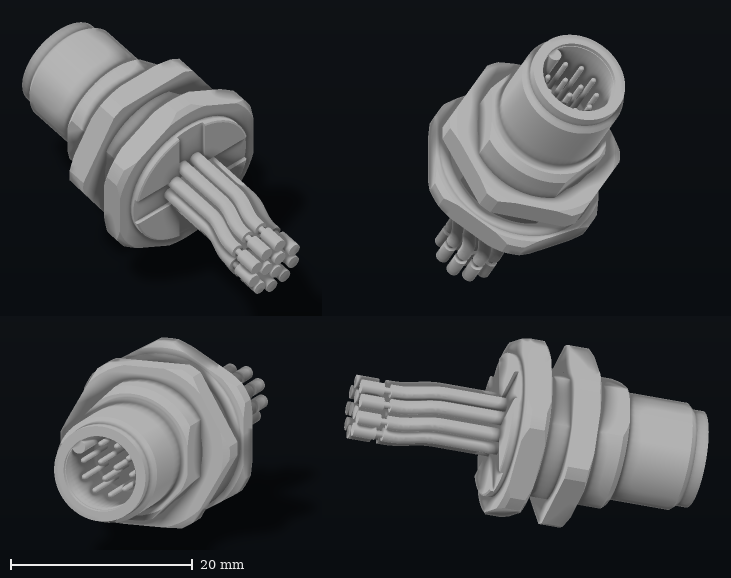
import cadquery as cq
import math

TIP_END = 1.3
TIP_CONE_END = 2.0
SLEEVE_END = 9.0
SHOULDER_START = 9.45
SHOULDER_CHAMFER_END = 10.2
NUT_START = 13.5
NUT_END = 16.25
FLANGE_START = 19.3
FLANGE_END = 22.05
SLOT_FLOOR = 22.55
REAR_END = 23.0
BEND_START = 29.35
BEND_END = 34.8
INSULATION_END = 35.42
WIRE_END_START = 36.28
TOTAL_LENGTH = 38.8

TIP_RADIUS = 10.8 / 2
SLEEVE_RADIUS = 12.0 / 2
THREAD_RADIUS = 15.25 / 2
SHOULDER_FACE_RADIUS = 6.9
NECK_FILLET = SHOULDER_START - SLEEVE_END
THREAD_FLAT_OFFSET = 6.7
THREAD_FLAT_ANGLES = (0, 45)
COLLAR_RADIUS = 16.0 / 2
REAR_FACE_RADIUS = 15.6 / 2
REAR_CHAMFER_LENGTH = 0.1
REAR_SLOT_WIDTH = 3.6

SOCKET_RADIUS = 8.4 / 2
MOUTH_RADIUS = 4.25
MOUTH_DEPTH = 0.5
SOCKET_DEPTH = SLEEVE_END
FLOOR_FILLET = 0.4
KEY_DIAMETER = 1.5
KEY_ANGLE = 45
KEY_CIRCLE_RADIUS = 3.8
KEY_START = MOUTH_DEPTH
PIN_DIAMETER = 0.6
PIN_START = 2.0
PIN_TIP_FILLET = 0.27
OUTER_PIN_COUNT = 9
OUTER_PIN_CIRCLE_RADIUS = 2.9
OUTER_PIN_PITCH = 37.5
INNER_PIN_COUNT = 3
INNER_PIN_CIRCLE_RADIUS = 1.1

HEX_SIDES = 6
HALF_SIDE_ANGLE = 180 / HEX_SIDES
FLANGE_TURN = HALF_SIDE_ANGLE
NUT_TURN = 0
FLANGE_FLATS = 19.0
FLANGE_CORNER_RADIUS = 20.87 / 2
FLANGE_FACE_RADIUS = 9.85
FLANGE_CHAMFER_FRONT = 0.5
FLANGE_CHAMFER_REAR = 0.55
NUT_FLATS = 18.0
NUT_CORNER_RADIUS = 20.0 / 2
NUT_FACE_RADIUS = 9.3
NUT_CHAMFER = 0.35
NUT_BORE_RADIUS = 6.9

RING_CENTRE_RADIUS = 8.55
RING_SECTION_RADIUS = 0.78
RING_PROTRUSION = 0.35

WIRE_DIAMETER = 1.5
CONDUCTOR_DIAMETER = 0.7
WIRE_OFFSET = 1.2


def revolve_about_x(half_profile):
    """Full turn about X of a closed (axial, radial) half profile."""
    return half_profile.close().revolve(360, (0, 0, 0), (1, 0, 0))


def rod(start, end, diameter, y=0.0, z=0.0):
    """Cylinder parallel to X."""
    return cq.Workplane("YZ", origin=(start, y, z)).circle(diameter / 2).extrude(end - start)


def hexagon(start, end, across_flats, turn):
    """Hexagonal prism along X; a zero turn puts two corners on the Y axis."""
    corner_diameter = across_flats / math.cos(math.radians(HALF_SIDE_ANGLE))
    prism = cq.Workplane("YZ", origin=(start, 0, 0)).polygon(HEX_SIDES, corner_diameter).extrude(end - start)
    return prism.rotate((0, 0, 0), (1, 0, 0), turn)


def on_circle(radius, angle):
    """(y, z) of a point on a circle about the axis, its angle measured from +Y towards +Z."""
    turn = math.radians(angle)
    return radius * math.cos(turn), radius * math.sin(turn)


def contact_positions():
    """(y, z) of all contacts: an outer arc that leaves a gap at the key, and an inner triangle."""
    first_angle = KEY_ANGLE + (360 - (OUTER_PIN_COUNT - 1) * OUTER_PIN_PITCH) / 2
    inner_pitch = 360 / INNER_PIN_COUNT
    outer = [
        on_circle(OUTER_PIN_CIRCLE_RADIUS, first_angle + i * OUTER_PIN_PITCH) for i in range(OUTER_PIN_COUNT)
    ]
    inner = [on_circle(INNER_PIN_CIRCLE_RADIUS, KEY_ANGLE + i * inner_pitch) for i in range(INNER_PIN_COUNT)]
    return outer + inner


def make_sleeve():
    """Plain front sleeve with a reduced tip and a concave neck up to the threaded shoulder."""
    neck_radius = SLEEVE_RADIUS + NECK_FILLET
    neck_sag = NECK_FILLET * math.sqrt(0.5)
    profile = (
        cq.Workplane("XY")
        .lineTo(0, TIP_RADIUS)
        .lineTo(TIP_END, TIP_RADIUS)
        .lineTo(TIP_CONE_END, SLEEVE_RADIUS)
        .lineTo(SLEEVE_END, SLEEVE_RADIUS)
        .threePointArc((SLEEVE_END + neck_sag, neck_radius - neck_sag), (SHOULDER_START, neck_radius))
        .lineTo(SHOULDER_START, 0)
    )
    return revolve_about_x(profile)


def make_threaded_barrel():
    """Barrel with two pairs of flats, relieved to the nut bore where the nut sits."""
    profile = (
        cq.Workplane("XY")
        .moveTo(SHOULDER_START, 0)
        .lineTo(SHOULDER_START, SHOULDER_FACE_RADIUS)
        .lineTo(SHOULDER_CHAMFER_END, THREAD_RADIUS)
        .lineTo(NUT_START, THREAD_RADIUS)
        .lineTo(NUT_START, NUT_BORE_RADIUS)
        .lineTo(NUT_END, NUT_BORE_RADIUS)
        .lineTo(NUT_END, THREAD_RADIUS)
        .lineTo(FLANGE_START, THREAD_RADIUS)
        .lineTo(FLANGE_START, 0)
    )
    barrel = revolve_about_x(profile)
    length = FLANGE_START - SHOULDER_START
    for angle in THREAD_FLAT_ANGLES:
        slab = (
            cq.Workplane("YZ", origin=(SHOULDER_START, 0, 0))
            .rect(2 * THREAD_FLAT_OFFSET, 2 * COLLAR_RADIUS)
            .extrude(length)
            .rotate((0, 0, 0), (1, 0, 0), angle)
        )
        barrel = barrel.intersect(slab)
    return barrel


def make_flange():
    """Hexagonal flange, chamfered on both faces, with a sealing ring in its front face."""
    envelope = (
        cq.Workplane("XY")
        .moveTo(FLANGE_START, 0)
        .lineTo(FLANGE_START, FLANGE_FACE_RADIUS)
        .lineTo(FLANGE_START + FLANGE_CHAMFER_FRONT, FLANGE_CORNER_RADIUS)
        .lineTo(FLANGE_END - FLANGE_CHAMFER_REAR, FLANGE_CORNER_RADIUS)
        .lineTo(FLANGE_END, FLANGE_FACE_RADIUS)
        .lineTo(FLANGE_END, 0)
    )
    flange = hexagon(FLANGE_START, FLANGE_END, FLANGE_FLATS, FLANGE_TURN).intersect(revolve_about_x(envelope))
    ring_centre = FLANGE_START - RING_PROTRUSION + RING_SECTION_RADIUS
    ring = (
        cq.Workplane("XY")
        .center(ring_centre, RING_CENTRE_RADIUS)
        .circle(RING_SECTION_RADIUS)
        .revolve(360, (0, -RING_CENTRE_RADIUS, 0), (1, -RING_CENTRE_RADIUS, 0))
    )
    return flange.union(ring)


def make_rear_end():
    """Round collar behind the flange, its chamfered end crossed by two slots."""
    profile = (
        cq.Workplane("XY")
        .moveTo(FLANGE_END, 0)
        .lineTo(FLANGE_END, COLLAR_RADIUS)
        .lineTo(REAR_END - REAR_CHAMFER_LENGTH, COLLAR_RADIUS)
        .lineTo(REAR_END, REAR_FACE_RADIUS)
        .lineTo(REAR_END, 0)
    )
    slot_depth = REAR_END - SLOT_FLOOR
    slot_floor = cq.Workplane("YZ", origin=(SLOT_FLOOR, 0, 0))
    slot = slot_floor.rect(2 * COLLAR_RADIUS, REAR_SLOT_WIDTH).extrude(slot_depth)
    cross_slot = slot.rotate((0, 0, 0), (1, 0, 0), 90)
    return revolve_about_x(profile).cut(slot).cut(cross_slot)


def make_socket():
    """Cavity of the mating end, with a shallow wider mouth and a rounded floor edge."""
    mouth = rod(0, MOUTH_DEPTH, 2 * MOUTH_RADIUS)
    bore = rod(0, SOCKET_DEPTH, 2 * SOCKET_RADIUS).faces(">X").edges().fillet(FLOOR_FILLET)
    return mouth.union(bore)


def make_key():
    """Round coding key along the socket wall."""
    return rod(KEY_START, SOCKET_DEPTH, KEY_DIAMETER, *on_circle(KEY_CIRCLE_RADIUS, KEY_ANGLE))


def make_pin(y, z):
    """Contact pin with a domed tip, standing on the socket floor."""
    return rod(PIN_START, SOCKET_DEPTH, PIN_DIAMETER, y, z).faces("<X").edges().fillet(PIN_TIP_FILLET)


def make_wire(y, z):
    """Insulated wire with an S-bend towards -Y, a bared stretch and a sleeved end."""
    bend_path = cq.Workplane("XY", origin=(0, 0, z)).spline(
        [(BEND_START, y), (BEND_END, y - WIRE_OFFSET)], tangents=[(1, 0), (1, 0)]
    )
    bend = cq.Workplane("YZ", origin=(BEND_START, y, z)).circle(WIRE_DIAMETER / 2).sweep(bend_path)
    end_y = y - WIRE_OFFSET
    return (
        rod(SLOT_FLOOR, BEND_START, WIRE_DIAMETER, y, z)
        .union(bend)
        .union(rod(BEND_END, INSULATION_END, WIRE_DIAMETER, end_y, z))
        .union(rod(INSULATION_END, WIRE_END_START, CONDUCTOR_DIAMETER, end_y, z))
        .union(rod(WIRE_END_START, TOTAL_LENGTH, WIRE_DIAMETER, end_y, z))
    )


def make_housing():
    """Whole connector: metal shell, key, contact pins and wires as one solid."""
    shell = make_sleeve().union(make_threaded_barrel()).union(make_flange()).union(make_rear_end())
    housing = shell.cut(make_socket()).union(make_key())
    for y, z in contact_positions():
        housing = housing.union(make_pin(y, z)).union(make_wire(y, z))
    return housing


def make_nut():
    """Hexagonal lock nut, chamfered on its front face only."""
    envelope = (
        cq.Workplane("XY")
        .moveTo(NUT_START, NUT_BORE_RADIUS)
        .lineTo(NUT_START, NUT_FACE_RADIUS)
        .lineTo(NUT_START + NUT_CHAMFER, NUT_CORNER_RADIUS)
        .lineTo(NUT_END, NUT_CORNER_RADIUS)
        .lineTo(NUT_END, NUT_BORE_RADIUS)
    )
    return hexagon(NUT_START, NUT_END, NUT_FLATS, NUT_TURN).intersect(revolve_about_x(envelope))


housing = make_housing()
nut = make_nut()

result = cq.Compound.makeCompound([housing.val(), nut.val()])